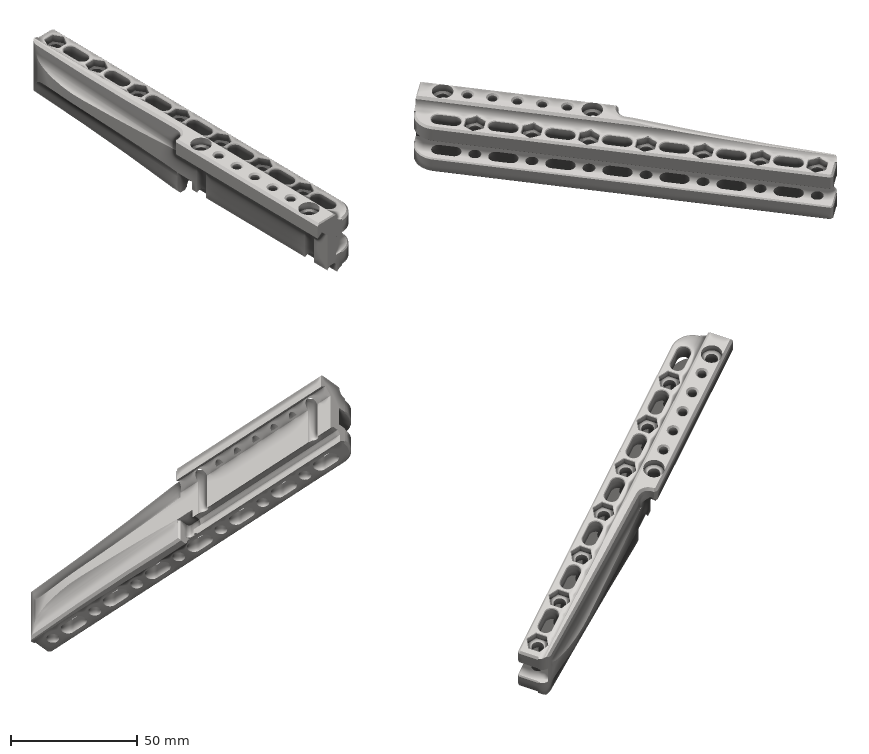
import cadquery as cq
import math

LENGTH = 170.0
DEPTH = 22.6
HALF_HEIGHT = 16.0
EDGE = 1.0

RAIL_INNER = 4.5
RAIL_OUTER = 11.5
RAIL_WIDTH = 13.1
RAIL_EDGE = 0.8
RAIL_INNER_EDGE = 0.5
RAIL_END_RADIUS = 9.0
FRONT_CORNER_RADIUS = 3.9

CHANNEL_DEPTH = 12.4
WALL_FACE = 17.2
BLEND_START = 8.8
BLEND_RADIUS = 3.2
CREST_BACK = BLEND_START + BLEND_RADIUS

CREST_LOW = 12.8
CREST_ARC_START = 1.7
CREST_ARC_END = 83.3
BAND_END_X = 86.0
BAND_END_DEPTH = 16.7
CREST_RUN = CREST_ARC_END - CREST_ARC_START
CREST_RISE = HALF_HEIGHT - CREST_LOW
CREST_RADIUS = (CREST_RUN**2 + CREST_RISE**2) / (2 * CREST_RISE)

SWELL_HALF_HEIGHT = 7.8
SWELL_RADIUS = 6.6
SWELL_START = 5.8
SWELL_START_DEPTH = 13.8
SWELL_END_HEIGHT = 5.5
SWELL_FULL = 33.3

PLATFORM_START = 90.1
PLATFORM_LIP = 9.0
GROOVE_DEPTH = 20.2
GROOVE_TOP = 10.9
PLATFORM_END_EDGE = 0.5

FLANGE_BOTTOM = -9.5
RELIEF_DEPTH = 11.7
NOTCH_START = 86.7
NOTCH_END = 94.5
NOTCH_TOP = -5.5
NOTCH_DEPTH = 11.0
NOTCH_RADIUS = 1.5
NOTCH_END_RADIUS = 2.7
NOTCH_MOUTH_EDGE = 0.7
STRIP_START = 90.0
STRIP_BOTTOM = -13.1
STRIP_BEVEL = 1.0
UNDERCUT = 1.5

RAIL_HOLE_COUNT = 7
RAIL_HOLE_PITCH = 23.0
RAIL_HOLE_START = 7.3
RAIL_HOLE_Y = -5.8
BOLT_RADIUS = 2.5
HEAD_RADIUS = 4.2
HEAD_DEPTH = 3.4
NUT_FLATS = 7.8
NUT_DEPTH = 3.4
NUT_EDGE = 0.25
SLOT_LENGTH = 12.0
SLOT_WIDTH = 5.8
SLOT_EDGE = 0.3
PLATFORM_HOLE_START = 100.0
PLATFORM_HOLE_PITCH = 10.0
PLATFORM_HOLE_COUNT = 7
PLATFORM_HOLE_Y = -17.5
SMALL_RADIUS = 1.9
SMALL_EDGE = 0.7
SMALL_BOTTOM = 8.5

OVERRUN = 1.7
ARC_MID = math.sqrt(0.5)


def box(x0, x1, y0, y1, z0, z1):
    return cq.Workplane("XY").box(x1 - x0, y1 - y0, z1 - z0, centered=False).translate((x0, y0, z0))


def along_band(shape):
    """Turn a shape from the X direction into the direction of the sloping front band."""
    slope = math.atan2(BAND_END_DEPTH - RAIL_WIDTH, BAND_END_X - FRONT_CORNER_RADIUS)
    pivot = (FRONT_CORNER_RADIUS, -RAIL_WIDTH)
    return shape.rotate((*pivot, 0), (*pivot, 1), -math.degrees(slope))


def rail_pair():
    end = RAIL_END_RADIUS
    front = FRONT_CORNER_RADIUS
    end_mid = end * (1 - ARC_MID)
    front_mid = front * (1 - ARC_MID)
    plan = (
        cq.Workplane("XY")
        .moveTo(RAIL_EDGE, 0)
        .lineTo(LENGTH - end, 0)
        .threePointArc((LENGTH - end_mid, -end_mid), (LENGTH, -end))
        .lineTo(LENGTH, -RAIL_WIDTH)
        .lineTo(front, -RAIL_WIDTH)
        .threePointArc((front_mid, -RAIL_WIDTH + front_mid), (0, -RAIL_WIDTH + front))
        .lineTo(0, -RAIL_EDGE)
        .close()
    )
    rail = (
        plan.extrude(RAIL_OUTER - RAIL_INNER)
        .faces(">Z").chamfer(RAIL_EDGE)
        .faces("<Z").chamfer(RAIL_INNER_EDGE)
        .translate((0, 0, RAIL_INNER))
    )
    return rail.union(rail.mirror("XY"))


def section():
    """Full-length section: wall, both crests and the platform."""
    top = HALF_HEIGHT
    rise = RAIL_OUTER + BLEND_RADIUS
    arc_y = -(BLEND_START + BLEND_RADIUS * ARC_MID)
    arc_z = rise - BLEND_RADIUS * ARC_MID
    return (
        cq.Workplane("YZ")
        .moveTo(-BLEND_START, RAIL_INNER)
        .lineTo(-BLEND_START, RAIL_OUTER)
        .threePointArc((arc_y, arc_z), (-CREST_BACK, rise))
        .lineTo(-CREST_BACK, top - EDGE)
        .lineTo(-CREST_BACK - EDGE, top)
        .lineTo(-DEPTH, top)
        .lineTo(-DEPTH, PLATFORM_LIP)
        .lineTo(-GROOVE_DEPTH, GROOVE_TOP)
        .lineTo(-WALL_FACE, GROOVE_TOP - (GROOVE_DEPTH - WALL_FACE))
        .lineTo(-WALL_FACE, -top)
        .lineTo(-CREST_BACK - EDGE, -top)
        .lineTo(-CREST_BACK, -top + EDGE)
        .lineTo(-CREST_BACK, -rise)
        .threePointArc((arc_y, -arc_z), (-BLEND_START, -RAIL_OUTER))
        .lineTo(-BLEND_START, -RAIL_INNER)
        .lineTo(-CHANNEL_DEPTH, -RAIL_INNER)
        .lineTo(-CHANNEL_DEPTH, RAIL_INNER)
        .close()
        .extrude(LENGTH)
    )


def crest_block():
    """Block under the crest line, with the top of its left end chamfered."""
    half_sag = CREST_RADIUS - math.sqrt(CREST_RADIUS**2 - (CREST_RUN / 2) ** 2)
    return (
        cq.Workplane("XZ")
        .lineTo(0, CREST_LOW - EDGE)
        .lineTo(EDGE, CREST_LOW)
        .lineTo(CREST_ARC_START, CREST_LOW)
        .threePointArc(
            (CREST_ARC_START + CREST_RUN / 2, CREST_LOW + half_sag),
            (CREST_ARC_END, HALF_HEIGHT),
        )
        .lineTo(LENGTH, HALF_HEIGHT)
        .lineTo(LENGTH, 0)
        .close()
        .extrude(DEPTH)
    )


def band_bevel():
    """Cutter for the bevel that follows the crest line along the front, before it is turned to the band."""
    over = OVERRUN / 2
    front = -RAIL_WIDTH

    def wedge(x, height):
        return (
            cq.Workplane("YZ", origin=(x, 0, 0))
            .moveTo(front - over, height - EDGE - over)
            .lineTo(front + EDGE + over, height + over)
            .lineTo(front - over, height + over)
            .close()
        )

    axis_z = CREST_LOW + CREST_RADIUS
    sweep = math.degrees(math.asin(CREST_RUN / CREST_RADIUS))
    curved = wedge(CREST_ARC_START, CREST_LOW).revolve(sweep, (0, axis_z, 0), (-1, axis_z, 0))
    before = wedge(-OVERRUN, CREST_LOW).extrude(CREST_ARC_START + OVERRUN)
    after = wedge(CREST_ARC_END, HALF_HEIGHT).extrude(BAND_END_X - CREST_ARC_END)
    return before.union(curved).union(after)


def plan_block():
    """Plan outline of wall and platform, with a chamfer round the platform."""
    front = FRONT_CORNER_RADIUS
    front_mid = front * (1 - ARC_MID)
    sweep = PLATFORM_START - BAND_END_X
    block = (
        cq.Workplane("XY")
        .lineTo(LENGTH, 0)
        .lineTo(LENGTH, -DEPTH)
        .lineTo(PLATFORM_START + EDGE, -DEPTH)
        .lineTo(PLATFORM_START, -DEPTH + EDGE)
        .lineTo(PLATFORM_START, -BAND_END_DEPTH - sweep)
        .threePointArc(
            (BAND_END_X + sweep * ARC_MID, -BAND_END_DEPTH - sweep * (1 - ARC_MID)),
            (BAND_END_X, -BAND_END_DEPTH),
        )
        .lineTo(front, -RAIL_WIDTH)
        .threePointArc((front_mid, -RAIL_WIDTH + front_mid), (0, -RAIL_WIDTH + front))
        .close()
        .extrude(HALF_HEIGHT)
    )
    margin = 0.2
    around_platform = cq.selectors.BoxSelector(
        (BAND_END_X, -DEPTH - OVERRUN, HALF_HEIGHT - margin),
        (LENGTH - OVERRUN, -BAND_END_DEPTH, HALF_HEIGHT + margin),
    )
    block = block.faces(">X").edges(">Z").chamfer(PLATFORM_END_EDGE)
    return block.edges(around_platform).chamfer(EDGE)


def envelope():
    """Volume that bounds the section: plan outline, crest line and front bevel."""
    half = plan_block().intersect(crest_block()).cut(along_band(band_bevel()))
    return half.union(half.mirror("XY"))


def swell():
    """Raised middle of the front: concave flanks on the sloping band, a curved nose, a flat face."""
    height = WALL_FACE - RAIL_WIDTH + EDGE
    half = SWELL_HALF_HEIGHT

    def flank_z(out):
        return half - math.sqrt(SWELL_RADIUS**2 - (SWELL_RADIUS - out) ** 2)

    top = flank_z(height)
    middle = flank_z(height / 2)
    ridge = (
        cq.Workplane("YZ")
        .moveTo(OVERRUN, half)
        .lineTo(0, half)
        .threePointArc((-height / 2, middle), (-height, top))
        .lineTo(-height, -top)
        .threePointArc((-height / 2, -middle), (0, -half))
        .lineTo(OVERRUN, -half)
        .close()
        .extrude(BAND_END_X - FRONT_CORNER_RADIUS + EDGE)
        .translate((FRONT_CORNER_RADIUS, -RAIL_WIDTH, 0))
    )
    nose_run = SWELL_FULL - SWELL_START
    nose_depth = WALL_FACE - SWELL_START_DEPTH
    radius = (nose_run**2 + nose_depth**2) / (2 * nose_depth)
    mid_sag = radius - math.sqrt(radius**2 - (nose_run / 2) ** 2)
    plan = (
        cq.Workplane("XY")
        .moveTo(FRONT_CORNER_RADIUS, -CHANNEL_DEPTH)
        .lineTo(FRONT_CORNER_RADIUS, -RAIL_WIDTH)
        .lineTo(SWELL_START, -SWELL_START_DEPTH)
        .threePointArc((SWELL_START + nose_run / 2, -WALL_FACE + mid_sag), (SWELL_FULL, -WALL_FACE))
        .lineTo(NOTCH_START, -WALL_FACE)
        .lineTo(NOTCH_START, -CHANNEL_DEPTH)
        .close()
        .extrude(2 * half)
        .translate((0, 0, -half))
    )
    run_out = box(
        BAND_END_X, PLATFORM_START + EDGE, -WALL_FACE, -CHANNEL_DEPTH, FLANGE_BOTTOM, SWELL_END_HEIGHT
    )
    return along_band(ridge).intersect(plan).union(run_out)


def underside_relief():
    """Space below the wall of the right half, and the round-cornered notch where it begins."""
    below = -HALF_HEIGHT - OVERRUN
    face = -DEPTH - OVERRUN
    past_end = LENGTH + OVERRUN
    flange = box(STRIP_START, past_end, face, -RELIEF_DEPTH, below, FLANGE_BOTTOM)
    undercut = (
        cq.Workplane("YZ", origin=(STRIP_START, 0, 0))
        .moveTo(-RELIEF_DEPTH, FLANGE_BOTTOM)
        .lineTo(-RELIEF_DEPTH - UNDERCUT, FLANGE_BOTTOM + UNDERCUT)
        .lineTo(-WALL_FACE + UNDERCUT, FLANGE_BOTTOM + UNDERCUT)
        .lineTo(-WALL_FACE, FLANGE_BOTTOM)
        .close()
        .extrude(past_end - STRIP_START)
    )
    start = (
        box(NOTCH_START, STRIP_START, face, -NOTCH_DEPTH, below, NOTCH_TOP)
        .edges("|Z and >Y and <X").fillet(NOTCH_RADIUS)
    )
    mouth = (
        cq.Workplane("XY", origin=(0, 0, below))
        .moveTo(NOTCH_START, face)
        .lineTo(NOTCH_START - NOTCH_MOUTH_EDGE, face)
        .lineTo(NOTCH_START - NOTCH_MOUTH_EDGE, -BAND_END_DEPTH)
        .lineTo(NOTCH_START, -BAND_END_DEPTH + NOTCH_MOUTH_EDGE)
        .close()
        .extrude(NOTCH_TOP - below)
    )
    pocket = (
        box(STRIP_START - NOTCH_RADIUS, NOTCH_END, face, -NOTCH_DEPTH, FLANGE_BOTTOM, NOTCH_TOP)
        .edges("|Z and >Y and >X").fillet(NOTCH_END_RADIUS)
    )
    strip_underside = (
        cq.Workplane("XZ")
        .moveTo(NOTCH_START, below)
        .lineTo(NOTCH_START, STRIP_BOTTOM + STRIP_BEVEL)
        .lineTo(STRIP_START + STRIP_BEVEL, STRIP_BOTTOM + STRIP_BEVEL)
        .lineTo(STRIP_START + 2 * STRIP_BEVEL, STRIP_BOTTOM)
        .lineTo(past_end, STRIP_BOTTOM)
        .lineTo(past_end, below)
        .close()
        .extrude(DEPTH)
    )
    return flange.union(undercut).union(start).union(mouth).union(pocket).union(strip_underside)


def cylinder(x, y, z0, z1, radius):
    return cq.Workplane("XY").circle(radius).extrude(z1 - z0).translate((x, y, z0))


def nut_outline():
    """Hexagon with two flats facing along X."""
    corner_diameter = NUT_FLATS / math.cos(math.pi / 6)
    return cq.Workplane("XY").transformed(rotate=(0, 0, 90)).polygon(6, corner_diameter)


def rail_holes():
    """Bolt holes with nut pockets in the upper rail, and a slot after each of them."""
    reach = HALF_HEIGHT + OVERRUN
    nut = nut_outline().extrude(reach - RAIL_OUTER + NUT_DEPTH)
    nut_rim = nut_outline().extrude(NUT_EDGE, taper=-45)
    slot = cq.Workplane("XY").slot2D(SLOT_LENGTH, SLOT_WIDTH).extrude(2 * reach)
    slot_rim = cq.Workplane("XY").slot2D(SLOT_LENGTH, SLOT_WIDTH).extrude(SLOT_EDGE, taper=-45)
    cuts = cq.Workplane("XY")
    for i in range(RAIL_HOLE_COUNT):
        x = RAIL_HOLE_START + i * RAIL_HOLE_PITCH
        slot_x = x + RAIL_HOLE_PITCH / 2
        cuts = cuts.add(cylinder(x, RAIL_HOLE_Y, -reach, reach, BOLT_RADIUS))
        cuts = cuts.add(nut.translate((x, RAIL_HOLE_Y, RAIL_OUTER - NUT_DEPTH)))
        cuts = cuts.add(nut_rim.translate((x, RAIL_HOLE_Y, RAIL_OUTER - NUT_EDGE)))
        cuts = cuts.add(slot.translate((slot_x, RAIL_HOLE_Y, -reach)))
        cuts = cuts.add(slot_rim.translate((slot_x, RAIL_HOLE_Y, RAIL_OUTER - SLOT_EDGE)))
    return cuts.combine()


def platform_holes():
    """A counterbored bolt hole at each end of the platform and small countersunk holes between."""
    top = HALF_HEIGHT
    small_rim = cq.Workplane("XY").circle(SMALL_RADIUS).extrude(SMALL_EDGE, taper=-45)
    cuts = cq.Workplane("XY")
    for i in range(PLATFORM_HOLE_COUNT):
        x = PLATFORM_HOLE_START + i * PLATFORM_HOLE_PITCH
        if i in (0, PLATFORM_HOLE_COUNT - 1):
            cuts = cuts.add(cylinder(x, PLATFORM_HOLE_Y, -top, top, BOLT_RADIUS))
            cuts = cuts.add(cylinder(x, PLATFORM_HOLE_Y, top - HEAD_DEPTH, top, HEAD_RADIUS))
        else:
            cuts = cuts.add(cylinder(x, PLATFORM_HOLE_Y, SMALL_BOTTOM, top, SMALL_RADIUS))
            cuts = cuts.add(small_rim.translate((x, PLATFORM_HOLE_Y, top - SMALL_EDGE)))
    return cuts.combine()


body = rail_pair().union(section().intersect(envelope())).union(swell())
result = body.cut(underside_relief()).cut(rail_holes()).cut(platform_holes())